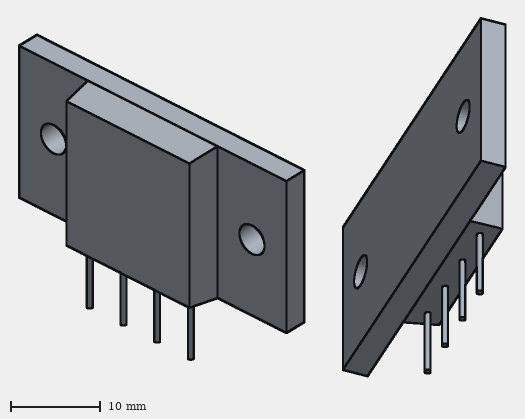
import cadquery as cq
import math

plate_width = 40.4
plate_thickness = 3.0
plate_height = 20.4
hole_diameter = 3.8
hole_spacing = 30.0

cover_width = 19.6
cover_depth = 4.12
cover_draft = 7.0

pin_count = 4
pin_pitch = 5.1
pin_diameter = 0.7
pin_drop = 8.0
pin_y = -cover_depth / 2

plate_bottom = -plate_height / 2
pin_bottom = plate_bottom - pin_drop


def make_plate():
    """Flat plate with a through hole on each side of the cover."""
    plate = cq.Workplane("XZ").rect(plate_width, plate_height).extrude(-plate_thickness)
    holes = (
        cq.Workplane("XZ")
        .pushPoints([(-hole_spacing / 2, 0), (hole_spacing / 2, 0)])
        .circle(hole_diameter / 2)
        .extrude(-plate_thickness)
    )
    return plate.cut(holes)


def make_cover():
    """Block that narrows on all four sides away from the plate."""
    return cq.Workplane("XZ").rect(cover_width, plate_height).extrude(cover_depth, taper=cover_draft)


def make_pin(x, cover):
    """Round pin whose top end is cut to sit against the sloping underside of the cover."""
    front_depth = cover_depth / 2 + pin_diameter / 2
    top_rise = front_depth * math.tan(math.radians(cover_draft))
    blank = (
        cq.Workplane("XY", origin=(x, pin_y, pin_bottom))
        .circle(pin_diameter / 2)
        .extrude(pin_drop + top_rise)
    )
    return blank.cut(cover)


plate = make_plate()
cover = make_cover()

pins = []
for index in range(pin_count):
    pin_x = (index - (pin_count - 1) / 2) * pin_pitch
    pins.append(make_pin(pin_x, cover).val())

result = cq.Compound.makeCompound([plate.val(), cover.val(), *pins])